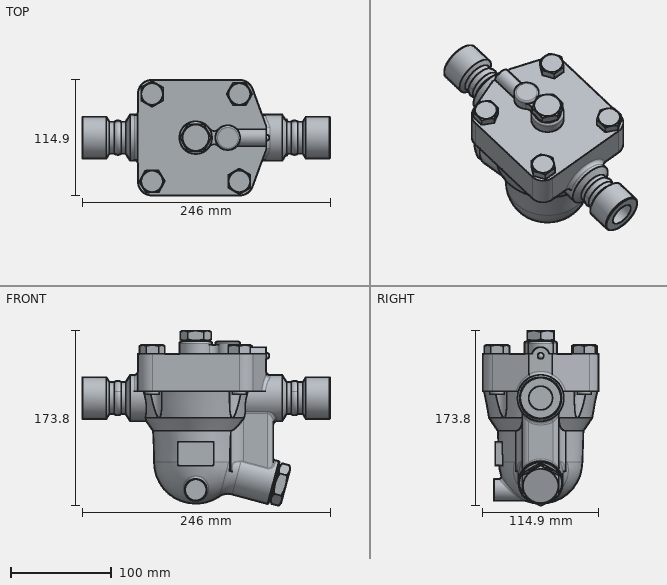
import cadquery as cq
import math


flange_half = 57.45
flange_bottom = 6.6
cover_top = 43.8
bolt_offset = 43.3
corner_radius = flange_half - bolt_offset
nose_angle = 20
nose_x = 69.9

bolt_across_flats = 22.0
bolt_head_height = 8.9
bolt_end_diameter = 14.0
bolt_end_length = 3.0
bolt_recess_diameter = 19.7

skirt_top_radius = 56.3
skirt_bottom_radius = 51.5
skirt_bottom = -19.5
neck_radius = 42.5
neck_top = -32.5
dome_radius = 41.5
dome_z = -63.2

pipe_length = 246
pipe_middle = 10.3
collar_radius = 41.5 / 2
collar_length = 27
collar_taper = 3.0
collar_chamfer = 0.7
pipe_radius = 32 / 2
ring_radius = 17.2
ring_width = 6.6
ring_distance = 35.5
shoulder_distance = 43.3
shoulder_taper = 4.5
port_boss_radius = 46.0 / 2
port_boss_fillet = 3.7
bore_diameter = 23.5
bore_depth = 27

leg_angle = 15
leg_radius = 44.0 / 2
leg_end = 80.5
leg_chamfer = 1.0
leg_blend = 15.3
cap_start = 81.5
cap_length = 11.0
cap_across_flats = 36.2

web_half_width = 18.2
web_end = 77.0
web_corner = 6.2
web_flare = 15.38
web_port_fillet = 3.5
web_leg_fillet = 1.5

plug_boss_radius = 16.2
side_boss_radius = 12.3
side_boss_x = 31.7
boss_top = 56.0
boss_fillet = 2.0
link_top = 52.6
link_blend = 6.2
plug_across_flats = 26.8
plug_bottom = 56.8
plug_top = 67.0
tube_radius = 8.73
tube_z = 41.8
pin_radius = 3.08
pin_length = 3.2

plate_width = 35.7
plate_height = 23.5
plate_z = -55.0
plate_front = 45.0
plate_corner = 1.2
drain_radius = 22.0 / 2
drain_z = -91
drain_front = 46.5
drain_chamfer = 0.5
drain_fillet = 2.2


def hexagon(across_flats, height, turn, chamfer_bottom=False):
    """Hexagon standing on Z = 0, its corners turned down; turn = 0 puts a corner on X."""
    corner = across_flats / 2 / math.cos(math.pi / 6)
    drop_in = corner - 0.485 * across_flats
    drop_down = drop_in * math.tan(math.pi / 6)
    prism = cq.Workplane("XY").polygon(6, 2 * corner).extrude(height)
    turned = cq.Workplane("XY").circle(corner).extrude(height)
    turned = turned.faces(">Z").chamfer(drop_down, drop_in)
    if chamfer_bottom:
        turned = turned.faces("<Z").chamfer(drop_down, drop_in)
    return prism.intersect(turned).rotate((0, 0, 0), (0, 0, 1), turn)


def flange_slab(bottom, top):
    """Flange outline: rounded square whose +X side runs out to a blunt nose."""
    slope = math.radians(nose_angle)
    slant_x = bolt_offset + corner_radius * math.cos(slope)
    slant_y = bolt_offset + corner_radius * math.sin(slope)
    nose_y = slant_y - (nose_x - slant_x) / math.tan(slope)
    square = (
        cq.Workplane("XY", origin=(0, 0, bottom))
        .rect(2 * flange_half, 2 * flange_half)
        .extrude(top - bottom)
        .edges("|Z")
        .fillet(corner_radius)
    )
    nose = (
        cq.Workplane("XY", origin=(0, 0, bottom))
        .moveTo(0, slant_y)
        .lineTo(slant_x, slant_y)
        .lineTo(nose_x, nose_y)
        .lineTo(nose_x, -nose_y)
        .lineTo(slant_x, -slant_y)
        .lineTo(0, -slant_y)
        .close()
        .extrude(top - bottom)
    )
    return square.union(nose)


def body():
    """Skirt, neck and dome in one turned shape, recessed around the bolts."""
    dome_mid = dome_radius * math.sqrt(0.5)
    turned = (
        cq.Workplane("XZ")
        .moveTo(0, flange_bottom)
        .lineTo(skirt_top_radius, flange_bottom)
        .lineTo(skirt_bottom_radius, skirt_bottom)
        .lineTo(neck_radius, neck_top)
        .lineTo(dome_radius, dome_z)
        .threePointArc((dome_mid, dome_z - dome_mid), (0, dome_z - dome_radius))
        .close()
        .revolve(360, (0, 0, 0), (0, 1, 0))
    )
    recesses = (
        cq.Workplane("XY", origin=(0, 0, flange_bottom))
        .rect(2 * bolt_offset, 2 * bolt_offset, forConstruction=True)
        .vertices()
        .circle(bolt_recess_diameter / 2)
        .extrude(neck_top - flange_bottom)
    )
    return turned.cut(recesses)


def half_pipe(direction):
    """One half of the pipe, from its middle to the port at the given end."""
    end = pipe_length / 2
    taper_start = end - collar_length + collar_taper
    ring_middle = end - ring_distance
    shoulder = end - shoulder_distance
    half = (
        cq.Workplane("XZ")
        .moveTo(0, 0)
        .lineTo(end, 0)
        .lineTo(end, collar_radius - collar_chamfer)
        .lineTo(end - collar_chamfer, collar_radius)
        .lineTo(taper_start, collar_radius)
        .lineTo(end - collar_length, pipe_radius)
        .lineTo(ring_middle + ring_width / 2, pipe_radius)
        .threePointArc((ring_middle, ring_radius), (ring_middle - ring_width / 2, pipe_radius))
        .lineTo(shoulder, pipe_radius)
        .lineTo(shoulder - shoulder_taper, port_boss_radius)
        .lineTo(0, port_boss_radius)
        .close()
        .revolve(360, (0, 0, 0), (1, 0, 0))
    )
    if direction < 0:
        half = half.mirror("YZ")
    return half.translate((pipe_middle, 0, 0))


def flange_and_pipe():
    """Flange joined to the pipe, with a fillet round each port above the flange underside."""
    deep = 2 * port_boss_radius
    block = flange_slab(-deep, cover_top).union(half_pipe(1)).union(half_pipe(-1))
    for reach in ((-flange_half - 0.2, -flange_half + 0.2), (bolt_offset, nose_x + 0.2)):
        window = cq.selectors.BoxSelector(
            (reach[0], -port_boss_radius - 0.2, -port_boss_radius - 0.2),
            (reach[1], port_boss_radius + 0.2, port_boss_radius + 0.2),
        )
        block = block.edges(window).fillet(port_boss_fillet)
    above = (
        cq.Workplane("XY", origin=(pipe_middle, 0, flange_bottom))
        .rect(pipe_length, 2 * flange_half)
        .extrude(cover_top - flange_bottom)
    )
    return block.intersect(above).union(half_pipe(1)).union(half_pipe(-1))


def place_on_leg(shape):
    """Move a shape built along +Z from the origin onto the leg axis."""
    return shape.rotate((0, 0, 0), (0, 1, 0), 90 + leg_angle).translate((0, 0, dome_z))


def leg():
    """Leg blended into the dome by a concave arc."""
    blend_y = leg_radius + leg_blend
    blend_start = math.sqrt((dome_radius + leg_blend) ** 2 - blend_y**2)
    touch = dome_radius / (dome_radius + leg_blend)
    half_turn = math.atan2(blend_start, blend_y) / 2
    tube = (
        cq.Workplane("XZ")
        .lineTo(blend_y * touch, 0)
        .lineTo(blend_y * touch, blend_start * touch)
        .threePointArc(
            (blend_y - leg_blend * math.cos(half_turn), blend_start - leg_blend * math.sin(half_turn)),
            (leg_radius, blend_start),
        )
        .lineTo(leg_radius, leg_end - leg_chamfer)
        .lineTo(leg_radius - leg_chamfer, leg_end)
        .lineTo(0, leg_end)
        .close()
        .revolve(360, (0, 0, 0), (0, 1, 0))
    )
    return place_on_leg(tube)


def leg_cap():
    """Hexagon cap on a short neck at the end of the leg."""
    neck = cq.Workplane("XY").circle(cap_across_flats / 2 - leg_chamfer).extrude(cap_start)
    head = hexagon(cap_across_flats, cap_length, 0, chamfer_bottom=True)
    return place_on_leg(neck.union(head.translate((0, 0, cap_start))))


def web():
    """Upright web with rounded outer corners, flaring into the neck, between pipe and leg."""
    reach = neck_radius + web_flare
    flare_y = web_half_width + web_flare
    flare_x = math.sqrt(reach**2 - flare_y**2)
    touch = neck_radius / reach
    half_turn = (math.pi / 2 + math.atan2(flare_y, flare_x)) / 2
    mid_x = flare_x - web_flare * math.cos(half_turn)
    mid_y = flare_y - web_flare * math.sin(half_turn)
    outline = (
        cq.Workplane("XY")
        .moveTo(0, flare_y * touch)
        .lineTo(flare_x * touch, flare_y * touch)
        .threePointArc((mid_x, mid_y), (flare_x, web_half_width))
        .lineTo(web_end, web_half_width)
        .lineTo(web_end, -web_half_width)
        .lineTo(flare_x, -web_half_width)
        .threePointArc((mid_x, -mid_y), (flare_x * touch, -flare_y * touch))
        .lineTo(0, -flare_y * touch)
        .close()
    )
    leg_drop = web_end * math.tan(math.radians(leg_angle))
    prism = outline.extrude(dome_z - leg_drop).edges("|Z and >X").fillet(web_corner)
    above_leg_axis = (
        cq.Workplane("XZ")
        .moveTo(0, dome_z)
        .lineTo(0, 0)
        .lineTo(web_end, 0)
        .lineTo(web_end, dome_z - leg_drop)
        .close()
        .extrude(flare_y, both=True)
    )
    return prism.intersect(above_leg_axis)


def cover_bosses():
    """Plug boss and side boss, joined by a waisted link."""
    bosses = cq.Workplane("XY", origin=(0, 0, cover_top))
    plug_boss = bosses.circle(plug_boss_radius).extrude(boss_top - cover_top)
    side_boss = bosses.center(side_boss_x, 0).circle(side_boss_radius).extrude(boss_top - cover_top)
    plug_reach = plug_boss_radius + link_blend
    side_reach = side_boss_radius + link_blend
    waist_x = (side_boss_x**2 + plug_reach**2 - side_reach**2) / (2 * side_boss_x)
    waist_y = math.sqrt(plug_reach**2 - waist_x**2)
    plug_share = plug_boss_radius / plug_reach
    side_share = side_boss_radius / side_reach
    plug_x = waist_x * plug_share
    plug_y = waist_y * plug_share
    side_x = side_boss_x + (waist_x - side_boss_x) * side_share
    side_y = waist_y * side_share
    link = (
        cq.Workplane("XY", origin=(0, 0, cover_top))
        .moveTo(plug_x, plug_y)
        .threePointArc((waist_x, waist_y - link_blend), (side_x, side_y))
        .lineTo(side_boss_x, 0)
        .lineTo(side_x, -side_y)
        .threePointArc((waist_x, -waist_y + link_blend), (plug_x, -plug_y))
        .lineTo(0, 0)
        .close()
        .extrude(link_top - cover_top)
    )
    plug_boss = plug_boss.faces(">Z").edges().fillet(boss_fillet)
    side_boss = side_boss.faces(">Z").edges().fillet(boss_fillet)
    return plug_boss.union(side_boss).union(link)


def plug():
    """Hexagon plug on a short neck above its boss."""
    neck = (
        cq.Workplane("XY", origin=(0, 0, cover_top))
        .circle(plug_across_flats / 2)
        .extrude(plug_bottom - cover_top)
    )
    head = hexagon(plug_across_flats, plug_top - plug_bottom, 0, chamfer_bottom=True)
    return neck.union(head.translate((0, 0, plug_bottom)))


def tube_and_pin():
    """Half-sunk tube from the side boss to the nose, with a round-ended pin in the nose face."""
    tube = (
        cq.Workplane("YZ", origin=(side_boss_x, 0, tube_z))
        .circle(tube_radius)
        .extrude(nose_x - side_boss_x)
    )
    pin_straight = pin_length - pin_radius
    pin = (
        cq.Workplane("XZ", origin=(nose_x, 0, tube_z))
        .moveTo(-pin_radius, 0)
        .lineTo(-pin_radius, pin_radius)
        .lineTo(pin_straight, pin_radius)
        .radiusArc((pin_length, 0), pin_radius)
        .close()
        .revolve(360, (0, 0, 0), (1, 0, 0))
    )
    return tube.union(pin)


def bolt(x, y, turn):
    """Bolt through the flange: head on the cover, plain end below the underside."""
    shank_bottom = flange_bottom - bolt_end_length
    shank = (
        cq.Workplane("XY", origin=(x, y, shank_bottom))
        .circle(bolt_end_diameter / 2)
        .extrude(cover_top - shank_bottom)
    )
    head = hexagon(bolt_across_flats, bolt_head_height, turn)
    return shank.union(head.translate((x, y, cover_top)))


def name_plate():
    """Raised rectangular pad on the neck, its corners rounded."""
    return (
        cq.Workplane("XZ", origin=(0, 0, plate_z))
        .rect(plate_width, plate_height)
        .extrude(plate_front)
        .edges("|Y")
        .fillet(plate_corner)
    )


def drain_boss():
    """Round boss on the lower part of the dome."""
    return (
        cq.Workplane("XZ", origin=(0, 0, drain_z))
        .circle(drain_radius)
        .extrude(drain_front)
        .faces("<Y")
        .chamfer(drain_chamfer)
    )


def port_bores():
    """Blind bores in both pipe ends."""
    left = (
        cq.Workplane("YZ", origin=(pipe_middle - pipe_length / 2, 0, 0))
        .circle(bore_diameter / 2)
        .extrude(bore_depth)
    )
    return left.union(left.translate((pipe_length - bore_depth, 0, 0)))


def fillet_edges_within(shape, low, high, radius):
    """Fillet the edges whose centres lie in the box between two corners."""
    return shape.edges(cq.selectors.BoxSelector(low, high)).fillet(radius)


housing = body().union(drain_boss())
housing = fillet_edges_within(
    housing,
    (-drain_radius, -dome_radius, drain_z - drain_radius / 2),
    (drain_radius, -drain_radius, drain_z + drain_radius / 2),
    drain_fillet,
)
housing = housing.union(flange_and_pipe()).union(leg()).union(web())
housing = fillet_edges_within(
    housing,
    (skirt_bottom_radius - 1.2, -web_half_width - 0.2, -port_boss_radius - 0.2),
    (web_end + 0.2, web_half_width + 0.2, -port_boss_radius / 2),
    web_port_fillet,
)
housing = fillet_edges_within(
    housing,
    (neck_radius + 2.5, -web_half_width - 0.2, dome_z - web_corner - 1.2),
    (web_end + 0.2, web_half_width + 0.2, dome_z + 2.5),
    web_leg_fillet,
)

result = housing.union(leg_cap()).union(cover_bosses()).union(plug())
result = result.union(tube_and_pin()).union(name_plate())
for side_x, side_y, turn in ((1, 1, 0), (1, -1, 30), (-1, 1, 30), (-1, -1, 2)):
    result = result.union(bolt(side_x * bolt_offset, side_y * bolt_offset, turn))
result = result.cut(port_bores())